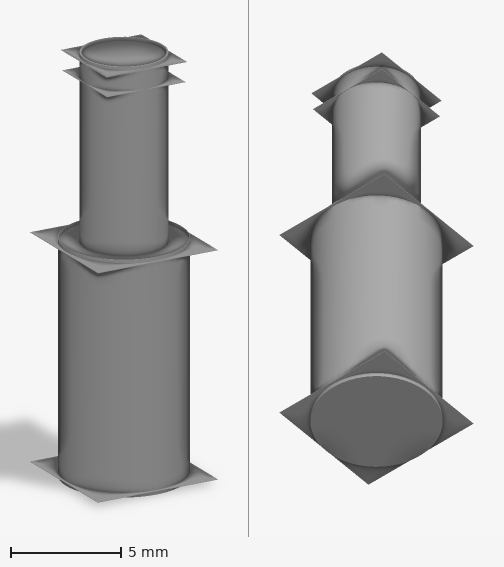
import cadquery as cq

total_height = 20.4
body_height = 11.46
body_diameter = 6.0
stem_diameter = 4.04
rim_height = 0.2
body_rim_wall = 0.02
stem_rim_wall = 0.08

sheet_thickness = 0.02
body_sheet_side = 6.25
top_sheet_side = 4.18
small_sheet_side = 4.08
collar_drop = 1.18

body_sheet_height = body_height - rim_height
top_sheet_height = total_height - rim_height


def cylinder(diameter, bottom, top):
    """Upright cylinder on the Z axis between two heights."""
    return cq.Workplane("XY").workplane(offset=bottom).circle(diameter / 2).extrude(top - bottom)


def rim(diameter, wall, bottom, top):
    """Thin upright ring with the given outer diameter and wall."""
    return cylinder(diameter, bottom, top).cut(cylinder(diameter - 2 * wall, bottom, top))


def square_sheet(side, bottom):
    """Thin square sheet centred on the Z axis, resting at the given height."""
    return cq.Workplane("XY").workplane(offset=bottom).rect(side, side).extrude(sheet_thickness)


body = cylinder(body_diameter, 0, body_sheet_height)
stem = cylinder(stem_diameter, body_sheet_height, top_sheet_height)
body_rim = rim(body_diameter, body_rim_wall, body_sheet_height, body_height)
stem_rim = rim(stem_diameter, stem_rim_wall, top_sheet_height, total_height)
result = body.union(stem).union(body_rim).union(stem_rim)

sheets = [
    (body_sheet_side, rim_height),
    (body_sheet_side, body_sheet_height),
    (small_sheet_side, total_height - collar_drop),
    (top_sheet_side, top_sheet_height),
    (small_sheet_side, top_sheet_height + sheet_thickness),
]
for sheet_side, sheet_bottom in sheets:
    result = result.union(square_sheet(sheet_side, sheet_bottom))